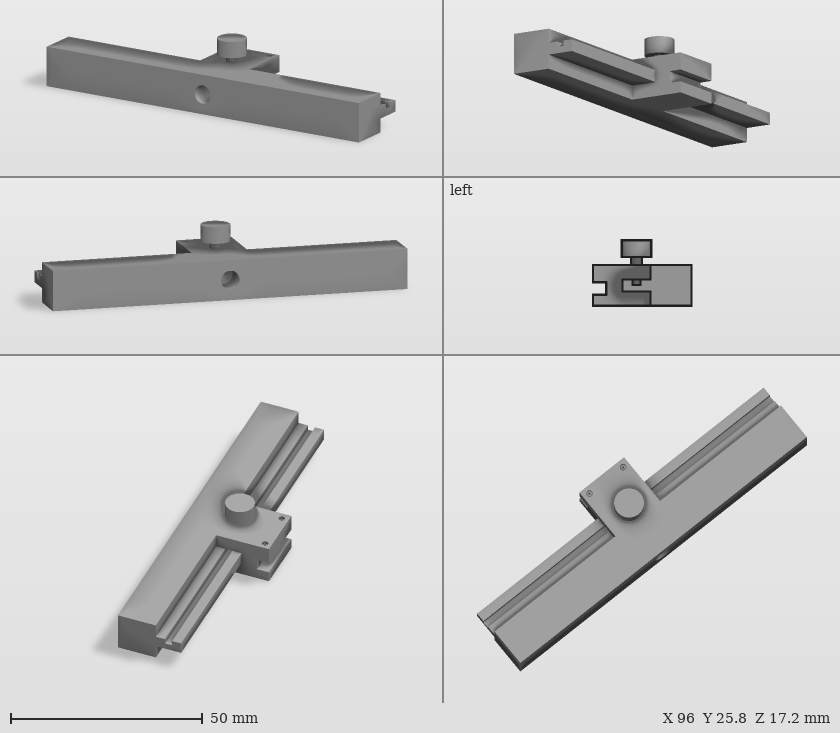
import cadquery as cq

RAIL_LENGTH = 96.0
BAR_SIDE = 10.8
TONGUE_DEPTH = 7.2
TONGUE_THICKNESS = 3.2
GROOVE_WIDTH = 2.0
GROOVE_DEPTH = 1.4

MOUNT_HOLE_DIA = 5.0
MOUNT_HOLE_DEPTH = 6.7
DRILL_POINT_RATIO = 0.6

SLIDER_SIDE = 15.0
NOTCH_DEPTH = 3.5
NOTCH_HEIGHT = 3.2
NOTCH_FLOOR_Z = 3.0

SET_SCREW_DIA = 1.7
SET_SCREW_SPACING = 11.2
SET_SCREW_INSET = 1.9
SET_SCREW_RECESS = 0.6
SET_SCREW_CHAMFER = 0.3
SOCKET_DIA = 0.6
SOCKET_DEPTH = 1.0

KNOB_DIA = 7.8
KNOB_HEIGHT = 4.4
KNOB_GAP = 2.0
SHANK_DIA = 3.0

TONGUE_BOTTOM_Z = (BAR_SIDE - TONGUE_THICKNESS) / 2
TONGUE_TOP_Z = TONGUE_BOTTOM_Z + TONGUE_THICKNESS
TONGUE_BACK_Y = BAR_SIDE + TONGUE_DEPTH
GROOVE_Y = BAR_SIDE + TONGUE_DEPTH / 2
GROOVE_FLOOR_Z = TONGUE_TOP_Z - GROOVE_DEPTH
SLIDER_BACK_Y = BAR_SIDE + SLIDER_SIDE
NOTCH_TOP_Z = NOTCH_FLOOR_Z + NOTCH_HEIGHT
SET_SCREW_Y = SLIDER_BACK_Y - SET_SCREW_INSET
SET_SCREW_XS = (-SET_SCREW_SPACING / 2, SET_SCREW_SPACING / 2)


def block(x_size, y_min, y_max, z_min, z_max):
    """A box centred on X = 0 that fills the given Y and Z ranges."""
    corner = cq.Workplane("XY", origin=(0, y_min, z_min))
    return corner.box(x_size, y_max - y_min, z_max - z_min, centered=(True, False, False))


def upright_cylinder(x, y, dia, z_min, z_max):
    return cq.Workplane("XY", origin=(x, y, z_min)).circle(dia / 2).extrude(z_max - z_min)


def tongue_space():
    """The space of the whole tongue along the rail, before its groove is cut."""
    return block(RAIL_LENGTH, BAR_SIDE, TONGUE_BACK_Y, TONGUE_BOTTOM_Z, TONGUE_TOP_Z)


def mount_hole():
    """A drilled hole that enters the front face and runs along +Y to a conical end."""
    radius = MOUNT_HOLE_DIA / 2
    tip_y = MOUNT_HOLE_DEPTH + DRILL_POINT_RATIO * radius
    half_section = (
        cq.Workplane("XY", origin=(0, 0, BAR_SIDE / 2))
        .polyline([(0, 0), (radius, 0), (radius, MOUNT_HOLE_DEPTH), (0, tip_y)])
        .close()
    )
    return half_section.revolve(360, (0, 0), (0, 1))


def make_rail():
    bar = block(RAIL_LENGTH, 0, BAR_SIDE, 0, BAR_SIDE)
    groove_front_y = GROOVE_Y - GROOVE_WIDTH / 2
    groove = block(RAIL_LENGTH, groove_front_y, groove_front_y + GROOVE_WIDTH, GROOVE_FLOOR_Z, TONGUE_TOP_Z)
    return bar.union(tongue_space()).cut(groove).cut(mount_hole())


def make_slider():
    slider = block(SLIDER_SIDE, BAR_SIDE, SLIDER_BACK_Y, 0, BAR_SIDE)
    slider = slider.cut(tongue_space())
    back_notch = block(SLIDER_SIDE, SLIDER_BACK_Y - NOTCH_DEPTH, SLIDER_BACK_Y, NOTCH_FLOOR_Z, NOTCH_TOP_Z)
    slider = slider.cut(back_notch)
    slider = slider.cut(upright_cylinder(0, GROOVE_Y, SHANK_DIA, TONGUE_TOP_Z, BAR_SIDE))
    for x in SET_SCREW_XS:
        slider = slider.cut(upright_cylinder(x, SET_SCREW_Y, SET_SCREW_DIA, NOTCH_TOP_Z, BAR_SIDE))
    return slider


def make_clamp_screw():
    knob_bottom_z = BAR_SIDE + KNOB_GAP
    knob = upright_cylinder(0, GROOVE_Y, KNOB_DIA, knob_bottom_z, knob_bottom_z + KNOB_HEIGHT)
    shank = upright_cylinder(0, GROOVE_Y, SHANK_DIA, TONGUE_TOP_Z, knob_bottom_z)
    tip = upright_cylinder(0, GROOVE_Y, GROOVE_WIDTH, GROOVE_FLOOR_Z, TONGUE_TOP_Z)
    return knob.union(shank).union(tip)


def make_set_screw(x):
    """A set screw sunk below the slider top, with a chamfered end and a round socket."""
    top_z = BAR_SIDE - SET_SCREW_RECESS
    body = upright_cylinder(x, SET_SCREW_Y, SET_SCREW_DIA, NOTCH_TOP_Z, top_z)
    body = body.faces(">Z").chamfer(SET_SCREW_CHAMFER)
    return body.cut(upright_cylinder(x, SET_SCREW_Y, SOCKET_DIA, top_z - SOCKET_DEPTH, top_z))


rail = make_rail()
slider = make_slider()
clamp_screw = make_clamp_screw()
set_screws = [make_set_screw(x).val() for x in SET_SCREW_XS]

result = cq.Compound.makeCompound([rail.val(), slider.val(), clamp_screw.val(), *set_screws])